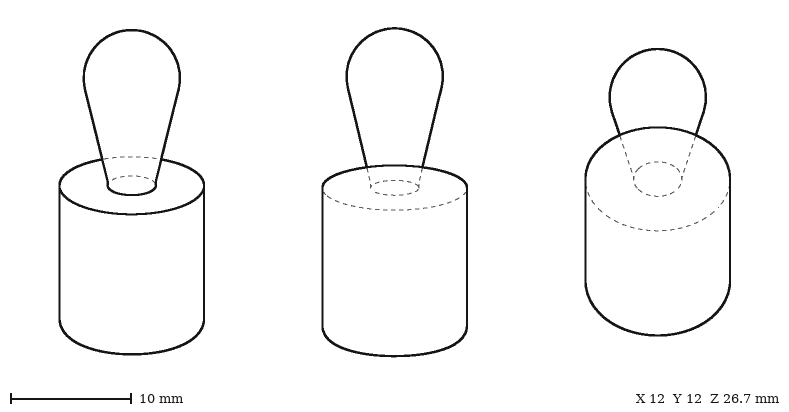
import cadquery as cq
import math

total_height = 26.67
body_diameter = 12.0
body_height = 13.0
bottom_fillet = 1.01
neck_diameter = 4.0
neck_height = 0.43
ball_diameter = 8.0

body_radius = body_diameter / 2
neck_radius = neck_diameter / 2
ball_radius = ball_diameter / 2
neck_top = body_height + neck_height
ball_center = total_height - ball_radius


def make_body():
    """Upright cylinder with a rounded bottom edge."""
    body = cq.Workplane("XY").circle(body_radius).extrude(body_height)
    return body.faces("<Z").edges().fillet(bottom_fillet)


def make_pin():
    """Revolved pin: short neck, then a cone running tangent into the ball."""
    drop = ball_center - neck_top
    distance = math.hypot(neck_radius, drop)
    tangent_angle = math.acos(ball_radius / distance) - math.atan2(drop, neck_radius)
    middle_angle = (tangent_angle + math.pi / 2) / 2

    def on_ball(angle):
        return (ball_radius * math.cos(angle), ball_center + ball_radius * math.sin(angle))

    return (
        cq.Workplane("XZ")
        .moveTo(0, body_height)
        .lineTo(neck_radius, body_height)
        .lineTo(neck_radius, neck_top)
        .lineTo(*on_ball(tangent_angle))
        .threePointArc(on_ball(middle_angle), (0, total_height))
        .close()
        .revolve(360, (0, 0), (0, 1))
    )


result = make_body().union(make_pin())